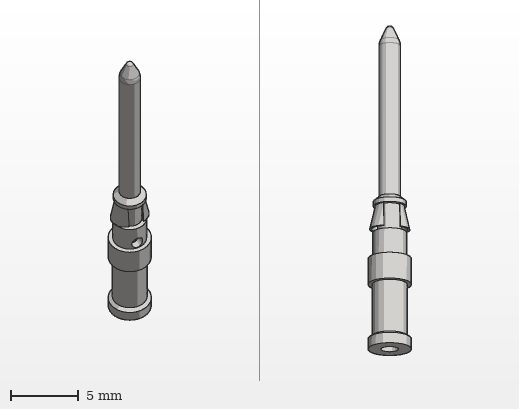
import math

import cadquery as cq

collar_diameter = 3.2
barrel_diameter = 2.6
shoulder_diameter = 2.52
flange_diameter = 2.45
neck_diameter = 1.8
shaft_diameter = 1.6
bore_diameter = 1.3
inspection_diameter = 0.9

foot_top = 0.8
barrel_bottom = 1.0
collar_bottom = 5.0
collar_top = 7.0
inspection_height = 7.5
bore_depth = 8.0
shoulder_top = 9.0
flange_bottom = 11.05
flange_top = 11.4
shaft_bottom = 11.77
total_length = 25.0

tip_half_angle = 25.0
nose_radius = 0.3
blend_radius = 1.0

arm_tilt = 13.0
arm_outer_radius = 1.05
arm_bottom = 9.25
arm_gap = 1.22


def tip_point(center_radius, center_height, radius, angle):
    """Point on a profile arc, at an angle in degrees above the horizontal."""
    return (
        center_radius + radius * math.cos(math.radians(angle)),
        center_height + radius * math.sin(math.radians(angle)),
    )


def make_body():
    """Revolve the stepped outline of the pin about Z."""
    foot_radius = collar_diameter / 2
    barrel_radius = barrel_diameter / 2
    shoulder_radius = shoulder_diameter / 2
    flange_radius = flange_diameter / 2
    neck_radius = neck_diameter / 2
    shaft_radius = shaft_diameter / 2

    nose_center = total_length - nose_radius
    nose_start = tip_point(0, nose_center, nose_radius, tip_half_angle)
    nose_middle = tip_point(0, nose_center, nose_radius, (tip_half_angle + 90) / 2)
    blend_center = shaft_radius - blend_radius
    blend_end_radius, blend_height = tip_point(blend_center, 0, blend_radius, tip_half_angle)
    cone_height = (blend_end_radius - nose_start[0]) / math.tan(math.radians(tip_half_angle))
    shaft_top = nose_start[1] - cone_height - blend_height
    blend_middle = tip_point(blend_center, shaft_top, blend_radius, tip_half_angle / 2)
    blend_end = tip_point(blend_center, shaft_top, blend_radius, tip_half_angle)

    outline = (
        cq.Workplane("XZ")
        .lineTo(foot_radius, 0)
        .lineTo(foot_radius, foot_top)
        .lineTo(barrel_radius, barrel_bottom)
        .lineTo(barrel_radius, collar_bottom)
        .lineTo(foot_radius, collar_bottom)
        .lineTo(foot_radius, collar_top)
        .lineTo(shoulder_radius, collar_top)
        .lineTo(shoulder_radius, shoulder_top)
        .lineTo(neck_radius, shoulder_top)
        .lineTo(neck_radius, flange_bottom)
        .lineTo(flange_radius, flange_bottom)
        .lineTo(flange_radius, flange_top)
        .lineTo(shaft_radius, shaft_bottom)
        .lineTo(shaft_radius, shaft_top)
        .threePointArc(blend_middle, blend_end)
        .lineTo(*nose_start)
        .threePointArc(nose_middle, (0, total_length))
        .close()
    )
    return outline.revolve(360, (0, 0, 0), (0, 1, 0))


def make_arm():
    """Spring arm on the +Y side: part of a tube around the neck, tilted about the flange underside."""
    arm_height = flange_bottom - arm_bottom
    tube_length = 3 * arm_height
    tube = (
        cq.Workplane("XY", origin=(0, 0, flange_bottom - tube_length / 2))
        .circle(arm_outer_radius)
        .circle(neck_diameter / 2)
        .extrude(tube_length)
        .rotate((0, 0, flange_bottom), (1, 0, flange_bottom), arm_tilt)
    )
    trim = (
        cq.Workplane("XY", origin=(0, arm_gap / 2, arm_bottom))
        .box(collar_diameter, collar_diameter, arm_height, centered=(True, False, False))
    )
    return tube.intersect(trim)


def make_bore():
    """Blind wire hole from the bottom face."""
    return cq.Workplane("XY").circle(bore_diameter / 2).extrude(bore_depth)


def make_inspection_hole():
    """Radial hole through the +X wall into the wire hole."""
    return (
        cq.Workplane("YZ")
        .center(0, inspection_height)
        .circle(inspection_diameter / 2)
        .extrude(collar_diameter / 2)
    )


arm = make_arm()
result = make_body().union(arm).union(arm.mirror("XZ"))
result = result.cut(make_bore()).cut(make_inspection_hole())